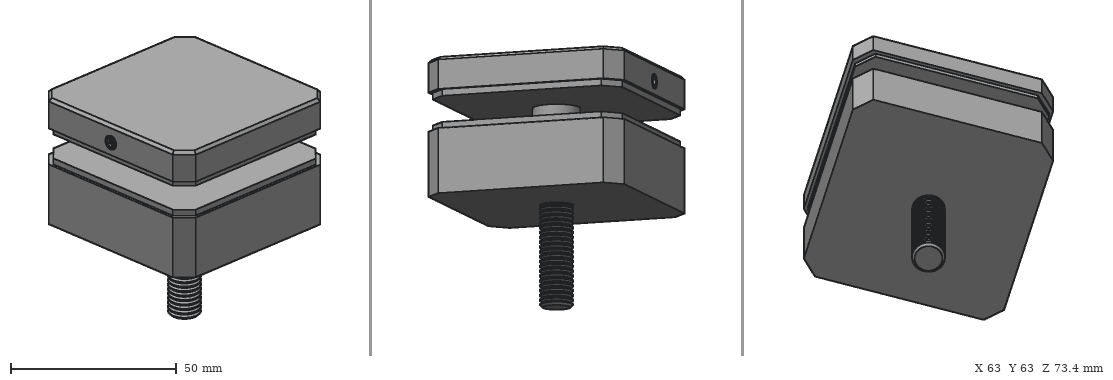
import cadquery as cq

plate_width = 63.0
corner_cut = 4.97
edge_inset = 1.0

base_height = 20.0
gasket_thickness = 2.0
clamp_gap = 8.0
cap_height = 10.0
lower_gasket_top = base_height + gasket_thickness
upper_gasket_bottom = lower_gasket_top + clamp_gap
cap_bottom = upper_gasket_bottom + gasket_thickness
cap_top = cap_bottom + cap_height

spacer_radius = 7.25
spacer_clearance = 0.3
spigot_radius = 5.0
spigot_depth_in_cap = 7.0
spacer_shoulder = upper_gasket_bottom - spacer_clearance
spigot_top = cap_bottom + spigot_depth_in_cap

stud_radius = 5.0
stud_root_radius = 4.2
stud_length_below = 31.36
stud_depth_in_spacer = 4.0
tip_bevel_height = 0.8
ridge_count = 21
ridge_pitch = 1.485
ridge_crest = 0.37
first_ridge = 0.97
stud_top = base_height + stud_depth_in_spacer

screw_radius = 2.15
screw_bevel = 0.35
screw_mouth_radius = 2.25
screw_depth_below_top = 5.9
screw_z = cap_top - screw_depth_below_top
socket_across_flats = 2.6
socket_depth = 1.0
socket_pilot_radius = 1.05
socket_pilot_depth = 0.5
front_face = -plate_width / 2
screw_length = plate_width / 2 - spigot_radius


def cut_corner_plate(inset, bottom, height):
    """Square plate with cut corners, standing `inset` inside the full outline."""
    width = plate_width - 2 * inset
    return (
        cq.Workplane("XY", origin=(0, 0, bottom))
        .rect(width, width)
        .extrude(height)
        .edges("|Z")
        .chamfer(corner_cut)
    )


def upright_cylinder(radius, bottom, top):
    return cq.Workplane("XY", origin=(0, 0, bottom)).circle(radius).extrude(top - bottom)


def screw_workplane(depth=0.0):
    """Workplane across the set screw axis, `depth` behind the cap's front face and facing inward."""
    origin = (0, front_face + depth, screw_z)
    return cq.Workplane(cq.Plane(origin=origin, xDir=(1, 0, 0), normal=(0, 1, 0)))


def make_base():
    return cut_corner_plate(0, 0, base_height).cut(upright_cylinder(stud_radius, 0, base_height))


def make_lower_gasket():
    gasket = cut_corner_plate(edge_inset, base_height, gasket_thickness)
    return gasket.cut(upright_cylinder(spacer_radius, base_height, lower_gasket_top))


def make_upper_gasket():
    gasket = cut_corner_plate(edge_inset, upper_gasket_bottom, gasket_thickness)
    return gasket.cut(upright_cylinder(spigot_radius, upper_gasket_bottom, cap_bottom))


def make_cap():
    cap = cut_corner_plate(0, cap_bottom, cap_height).faces(">Z").chamfer(edge_inset)
    cap = cap.cut(upright_cylinder(spigot_radius, cap_bottom, spigot_top))
    mouth_depth = screw_mouth_radius - screw_radius
    mouth = cq.Workplane(cq.Solid.makeCone(
        screw_mouth_radius,
        screw_radius,
        mouth_depth,
        cq.Vector(0, front_face, screw_z),
        cq.Vector(0, 1, 0),
    ))
    bore = screw_workplane().circle(screw_radius).extrude(screw_length)
    return cap.cut(bore).cut(mouth)


def make_spacer():
    """Round spacer on the base, with a spigot up into the cap and a hole for the stud."""
    spacer = (
        cq.Workplane("XZ")
        .moveTo(0, base_height)
        .lineTo(-spacer_radius, base_height)
        .lineTo(-spacer_radius, spacer_shoulder)
        .lineTo(-spigot_radius, spacer_shoulder)
        .lineTo(-spigot_radius, spigot_top)
        .lineTo(0, spigot_top)
        .close()
        .revolve(360, (0, 0), (0, 1))
    )
    return spacer.cut(upright_cylinder(stud_radius, base_height, stud_top))


def make_stud():
    """Stud turned from one profile: a plain shank above the base underside, ridges below it."""
    profile = [(0, stud_top), (stud_radius, stud_top), (stud_radius, 0), (stud_root_radius, 0)]
    half_crest = ridge_crest / 2
    for ridge in range(ridge_count):
        middle = -first_ridge - ridge * ridge_pitch
        profile.append((stud_root_radius, middle + ridge_pitch / 2))
        profile.append((stud_radius, middle + half_crest))
        if ridge < ridge_count - 1:
            profile.append((stud_radius, middle - half_crest))
    profile.append((stud_radius, tip_bevel_height - stud_length_below))
    profile.append((stud_root_radius, -stud_length_below))
    profile.append((0, -stud_length_below))
    return cq.Workplane("XZ").polyline(profile).close().revolve(360, (0, 0), (0, 1))


def make_set_screw():
    screw = screw_workplane().circle(screw_radius).extrude(screw_length).faces("<Y").chamfer(screw_bevel)
    socket = screw_workplane().polygon(6, socket_across_flats, circumscribed=True).extrude(socket_depth)
    pilot = screw_workplane(socket_depth).circle(socket_pilot_radius).extrude(socket_pilot_depth)
    return screw.cut(socket).cut(pilot)


base = make_base()
lower_gasket = make_lower_gasket()
upper_gasket = make_upper_gasket()
cap = make_cap()
spacer = make_spacer()
stud = make_stud()
set_screw = make_set_screw()

result = cq.Compound.makeCompound([
    base.val(),
    lower_gasket.val(),
    upper_gasket.val(),
    cap.val(),
    spacer.val(),
    stud.val(),
    set_screw.val(),
])